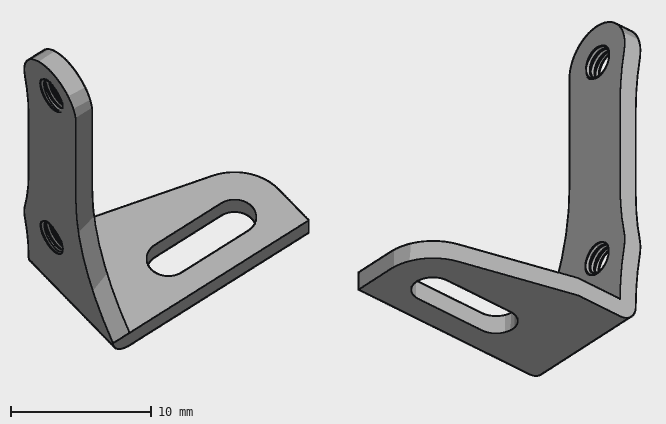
import cadquery as cq
import math

THICKNESS = 1.5
LEFT_EDGE = -2.5
RIGHT_EDGE = 7.3

LUG_RADIUS = 3.0
LUG_BLEND_RADIUS = 20.0
LOWER_HOLE_Z = 6.41
UPPER_HOLE_Z = 23.36
FLARE_RADIUS = 20.0

FOOT_LENGTH = 17.75
TAPER_START_Y = 5.5
CORNER_RADIUS = 4.0
CORNER_X = 3.8
CORNER_Y = FOOT_LENGTH - CORNER_RADIUS
SLOT_WIDTH = 3.1
SLOT_TRAVEL = 6.0

THREAD_PITCH = 0.45
THREAD_MAJOR_RADIUS = 1.4
BORE_RADIUS = 1.17
MOUTH_RADIUS = 0.47
THREAD_HALF_ANGLE = math.radians(30)
GROOVE_ROOT_WIDTH = THREAD_PITCH / 8
THREAD_OVERLAP = 0.03
UPPER_THREAD_ANGLE = 5.0
LOWER_THREAD_ANGLE = -20.0


def polar(center_x, center_y, radius, angle):
    """Point on a circle at the given angle in radians."""
    return (center_x + radius * math.cos(angle), center_y + radius * math.sin(angle))


def make_upright():
    """Upright plate in the XZ plane, with concave blends beside the lugs."""
    blend_x = LEFT_EDGE - LUG_BLEND_RADIUS
    center_distance = LUG_RADIUS + LUG_BLEND_RADIUS
    blend_rise = math.sqrt(center_distance**2 - blend_x**2)
    blend_angle = math.asin(blend_rise / center_distance)

    lower_blend_z = LOWER_HOLE_Z - blend_rise
    middle_blend_z = LOWER_HOLE_Z + blend_rise
    upper_blend_z = UPPER_HOLE_Z - blend_rise

    flare_x = LUG_RADIUS + FLARE_RADIUS
    flare_rise = math.sqrt(FLARE_RADIUS**2 - (flare_x - RIGHT_EDGE) ** 2)
    flare_z = THICKNESS + flare_rise
    flare_mid_angle = math.pi + math.asin(flare_rise / FLARE_RADIUS) / 2

    below_lug = math.pi + blend_angle
    above_lug = math.pi - blend_angle
    outline = (
        cq.Workplane("XZ")
        .moveTo(LEFT_EDGE, 0)
        .lineTo(LEFT_EDGE, lower_blend_z)
        .threePointArc(
            polar(blend_x, lower_blend_z, LUG_BLEND_RADIUS, blend_angle / 2),
            polar(0, LOWER_HOLE_Z, LUG_RADIUS, below_lug),
        )
        .threePointArc(
            (-LUG_RADIUS, LOWER_HOLE_Z),
            polar(0, LOWER_HOLE_Z, LUG_RADIUS, above_lug),
        )
        .threePointArc(
            polar(blend_x, middle_blend_z, LUG_BLEND_RADIUS, -blend_angle / 2),
            (LEFT_EDGE, middle_blend_z),
        )
        .lineTo(LEFT_EDGE, upper_blend_z)
        .threePointArc(
            polar(blend_x, upper_blend_z, LUG_BLEND_RADIUS, blend_angle / 2),
            polar(0, UPPER_HOLE_Z, LUG_RADIUS, below_lug),
        )
        .threePointArc((0, UPPER_HOLE_Z + LUG_RADIUS), (LUG_RADIUS, UPPER_HOLE_Z))
        .lineTo(LUG_RADIUS, flare_z)
        .threePointArc(
            polar(flare_x, flare_z, FLARE_RADIUS, flare_mid_angle),
            (RIGHT_EDGE, THICKNESS),
        )
        .lineTo(RIGHT_EDGE, 0)
        .close()
    )
    return outline.extrude(-THICKNESS)


def make_foot():
    """Flat foot whose left side tapers tangentially into the rounded corner."""
    run_x = LEFT_EDGE - CORNER_X
    run_y = TAPER_START_Y - CORNER_Y
    start_angle = math.atan2(run_y, run_x)
    tangent_angle = start_angle - math.acos(CORNER_RADIUS / math.hypot(run_x, run_y))
    corner_end_angle = math.pi / 2 - 2 * math.pi
    mid_angle = (tangent_angle + corner_end_angle) / 2

    foot = (
        cq.Workplane("XY")
        .moveTo(LEFT_EDGE, 0)
        .lineTo(LEFT_EDGE, TAPER_START_Y)
        .lineTo(*polar(CORNER_X, CORNER_Y, CORNER_RADIUS, tangent_angle))
        .threePointArc(
            polar(CORNER_X, CORNER_Y, CORNER_RADIUS, mid_angle),
            (CORNER_X, FOOT_LENGTH),
        )
        .lineTo(RIGHT_EDGE, FOOT_LENGTH)
        .lineTo(RIGHT_EDGE, 0)
        .close()
        .extrude(THICKNESS)
    )
    slot = (
        cq.Workplane("XY")
        .center(CORNER_X, CORNER_Y - SLOT_TRAVEL / 2)
        .slot2D(SLOT_TRAVEL + SLOT_WIDTH, SLOT_WIDTH, 90)
        .extrude(THICKNESS)
    )
    return foot.cut(slot)


def make_bore(hole_z):
    """Through bore whose mouth flares out tangentially to the outer face."""
    mouth_edge = BORE_RADIUS + MOUTH_RADIUS
    mouth_mid = polar(mouth_edge, MOUTH_RADIUS, MOUTH_RADIUS, -3 * math.pi / 4)
    profile = (
        cq.Workplane("XY")
        .moveTo(0, 0)
        .lineTo(mouth_edge, 0)
        .threePointArc(mouth_mid, (BORE_RADIUS, MOUTH_RADIUS))
        .lineTo(BORE_RADIUS, THICKNESS)
        .lineTo(0, THICKNESS)
        .close()
    )
    return profile.revolve(360, (0, 0, 0), (0, 1, 0)).translate((0, 0, hole_z))


def make_thread(hole_z, start_angle):
    """Right-hand helical groove that runs out beyond both faces of the upright."""
    inner_radius = BORE_RADIUS - THREAD_OVERLAP
    half_root = GROOVE_ROOT_WIDTH / 2
    half_base = half_root + (THREAD_MAJOR_RADIUS - inner_radius) * math.tan(THREAD_HALF_ANGLE)
    helix = cq.Wire.makeHelix(THREAD_PITCH, THICKNESS + 2 * THREAD_PITCH, BORE_RADIUS)
    groove = (
        cq.Workplane("XZ")
        .moveTo(inner_radius, -half_base)
        .lineTo(THREAD_MAJOR_RADIUS, -half_root)
        .lineTo(THREAD_MAJOR_RADIUS, half_root)
        .lineTo(inner_radius, half_base)
        .close()
        .sweep(cq.Workplane(helix), isFrenet=True)
    )
    return (
        groove.rotate((0, 0, 0), (0, 0, 1), start_angle)
        .rotate((0, 0, 0), (1, 0, 0), -90)
        .translate((0, -THREAD_PITCH, hole_z))
    )


bracket = make_upright().union(make_foot())
bracket = bracket.edges("|X").edges("<Y and <Z").fillet(THICKNESS)
for hole_z, thread_angle in (
    (LOWER_HOLE_Z, LOWER_THREAD_ANGLE),
    (UPPER_HOLE_Z, UPPER_THREAD_ANGLE),
):
    bracket = bracket.cut(make_thread(hole_z, thread_angle)).cut(make_bore(hole_z))

result = bracket